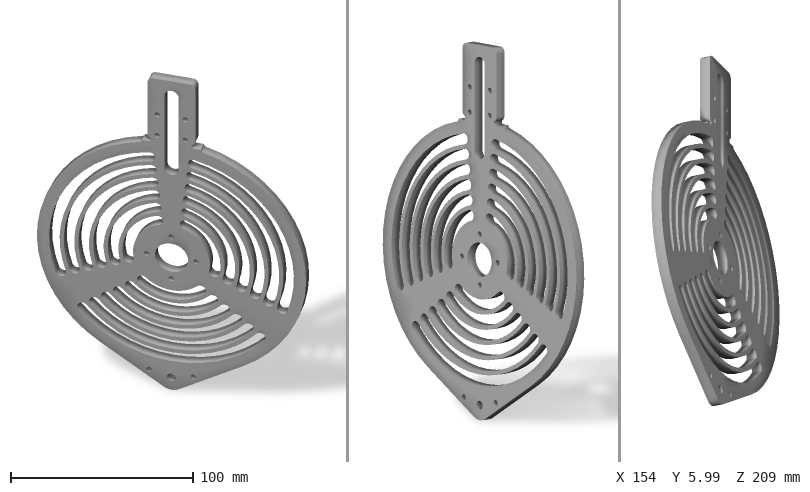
import cadquery as cq
import math

THICKNESS = 5.99

DISC_R = 77.0
TIP_R = 8.0
TIP_Z = -81.5

TAB_TOP_Z = 119.53
TAB_HALF_WIDTH = 13.6
TAB_TOP_FILLET = 3.0

NOTCH_R = 1.3
NOTCH_X = 12.8
TAB_FOOT_FILLET = 3.0
LEDGE_HALF_WIDTH = 16.8
LEDGE_FILLET = 1.6

TAB_SLOT_WIDTH = 8.0
TAB_SLOT_TOP_Z = 113.1
TAB_SLOT_BOTTOM_Z = 56.2

BORE_DIA = 19.0
HUB_HOLE_COUNT = 4
HUB_HOLE_CIRCLE_R = 14.14
SCREW_DIA = 3.2

TAB_HOLE_X = 8.0
TAB_HOLE_ROWS_Z = (95.2, 81.2)

TIP_HOLE_DIA = 5.0
TIP_SCREW_X = 12.65
TIP_SCREW_Z = -78.3
TIP_HOLE_Z = -81.1

SPOKE_COUNT = 3
SLOTS_PER_SECTOR = 6
SLOT_WIDTH = 6.0
SLOT_FIRST_R = 25.0
SLOT_PITCH = 8.4
SLOT_END_FIRST = 7.75
SLOT_END_STEP = 0.93


def polar(centre, radius, angle):
    """Point at a radius and an angle (radians from +X) around a centre."""
    return (centre[0] + radius * math.cos(angle), centre[1] + radius * math.sin(angle))


def plate_blank():
    """Outline of the +X half, extruded about the XZ plane and mirrored."""
    disc_centre = (0, 0)
    tip_centre = (0, TIP_Z)

    ledge_fillet_x = LEDGE_HALF_WIDTH + LEDGE_FILLET
    ledge_z = math.sqrt((DISC_R + LEDGE_FILLET) ** 2 - ledge_fillet_x**2)
    ledge_corner = (LEDGE_HALF_WIDTH, ledge_z)
    ledge_angle = math.atan2(ledge_z, ledge_fillet_x)
    disc_start = polar(disc_centre, DISC_R, ledge_angle)

    notch_centre = (NOTCH_X, ledge_z + NOTCH_R)
    foot_x = TAB_HALF_WIDTH - TAB_FOOT_FILLET
    foot_rise = math.sqrt((TAB_FOOT_FILLET + NOTCH_R) ** 2 - (NOTCH_X - foot_x) ** 2)
    foot_z = notch_centre[1] + foot_rise
    notch_start_angle = math.atan2(foot_rise, foot_x - NOTCH_X)
    notch_start = polar(notch_centre, NOTCH_R, notch_start_angle)
    notch_mid = polar(notch_centre, NOTCH_R, (notch_start_angle + 1.5 * math.pi) / 2)

    tangent_angle = math.asin((DISC_R - TIP_R) / TIP_Z)
    disc_end = polar(disc_centre, DISC_R, tangent_angle)
    disc_mid = polar(disc_centre, DISC_R, (ledge_angle + tangent_angle) / 2)
    tip_start = polar(tip_centre, TIP_R, tangent_angle)
    tip_mid = polar(tip_centre, TIP_R, (tangent_angle - math.pi / 2) / 2)

    half = (
        cq.Workplane("XZ")
        .moveTo(0, TAB_TOP_Z)
        .lineTo(TAB_HALF_WIDTH - TAB_TOP_FILLET, TAB_TOP_Z)
        .tangentArcPoint((TAB_HALF_WIDTH, TAB_TOP_Z - TAB_TOP_FILLET), relative=False)
        .lineTo(TAB_HALF_WIDTH, foot_z)
        .tangentArcPoint(notch_start, relative=False)
        .threePointArc(notch_mid, (NOTCH_X, ledge_z))
        .lineTo(*ledge_corner)
        .radiusArc(disc_start, -LEDGE_FILLET)
        .threePointArc(disc_mid, disc_end)
        .lineTo(*tip_start)
        .threePointArc(tip_mid, (0, TIP_Z - TIP_R))
        .close()
        .extrude(THICKNESS / 2, both=True)
    )
    return half.union(half.mirror("YZ")).clean()


def round_holes(diameter, points):
    """Through holes at (X, Z) points."""
    return cq.Workplane("XZ").pushPoints(points).circle(diameter / 2).extrude(THICKNESS, both=True)


def tab_slot():
    """Upright round-ended slot through the tab and into the disc."""
    length = TAB_SLOT_TOP_Z - TAB_SLOT_BOTTOM_Z
    middle_z = (TAB_SLOT_TOP_Z + TAB_SLOT_BOTTOM_Z) / 2
    return (
        cq.Workplane("XZ")
        .center(0, middle_z)
        .slot2D(length, TAB_SLOT_WIDTH, 90)
        .extrude(THICKNESS, both=True)
    )


def arc_slot(radius, end_offset):
    """Round-ended slot along an arc, centred on -Z between two spokes."""
    half_span = math.pi / SPOKE_COUNT - math.asin(end_offset / radius)
    down = -math.pi / 2
    left = down - half_span
    right = down + half_span
    inner_r = radius - SLOT_WIDTH / 2
    outer_r = radius + SLOT_WIDTH / 2
    origin = (0, 0)
    return (
        cq.Workplane("XZ")
        .moveTo(*polar(origin, outer_r, left))
        .threePointArc((0, -outer_r), polar(origin, outer_r, right))
        .tangentArcPoint(polar(origin, inner_r, right), relative=False)
        .threePointArc((0, -inner_r), polar(origin, inner_r, left))
        .tangentArcPoint(polar(origin, outer_r, left), relative=False)
        .close()
        .extrude(THICKNESS, both=True)
    )


hub_step = 2 * math.pi / HUB_HOLE_COUNT
hub_holes = [polar((0, 0), HUB_HOLE_CIRCLE_R, i * hub_step) for i in range(HUB_HOLE_COUNT)]
tab_holes = [(side * TAB_HOLE_X, z) for side in (-1, 1) for z in TAB_HOLE_ROWS_Z]
tip_screws = [(side * TIP_SCREW_X, TIP_SCREW_Z) for side in (-1, 1)]

result = plate_blank()
result = result.cut(tab_slot())
result = result.cut(round_holes(BORE_DIA, [(0, 0)]))
result = result.cut(round_holes(SCREW_DIA, hub_holes + tab_holes + tip_screws))
result = result.cut(round_holes(TIP_HOLE_DIA, [(0, TIP_HOLE_Z)]))

for row in range(SLOTS_PER_SECTOR):
    slot = arc_slot(SLOT_FIRST_R + row * SLOT_PITCH, SLOT_END_FIRST + row * SLOT_END_STEP)
    for sector in range(SPOKE_COUNT):
        result = result.cut(slot.rotate((0, 0, 0), (0, 1, 0), sector * 360 / SPOKE_COUNT))